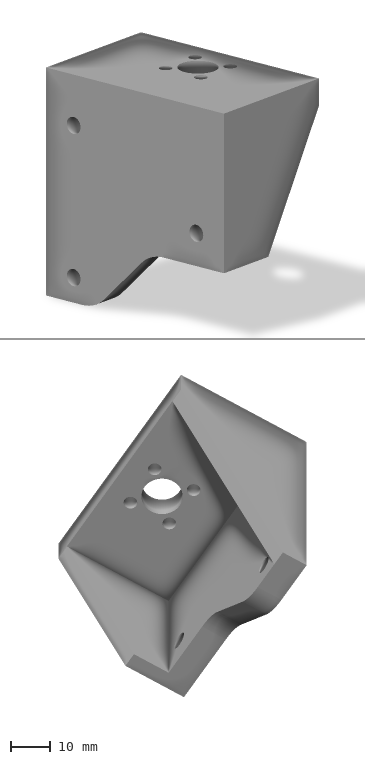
import cadquery as cq
import math

width = 58.0
depth = 37.0
height = 60.0

foot_width = 16.0
step_height = 18.0
ramp_angle = 45.0
bend_radius = 10.0

foot_depth = 7.0
back_edge_height = 7.2

plate_thickness = foot_depth
rib_thickness = 4.0

mount_diameter = 4.5
mount_inset = 9.0
mount_bottom = 6.6
mount_pitch = 40.0

bore_diameter = 10.3
bore_from_back = 12.5
screw_diameter = 3.4
screw_pitch = 11.45


def front_profile():
    """Face outline with a 45 degree ramp, rounded where it meets the two levels."""
    ramp_end = foot_width + step_height / math.tan(math.radians(ramp_angle))
    block = (
        cq.Workplane("XZ")
        .polyline([(0, 0), (foot_width, 0), (ramp_end, step_height),
                   (width, step_height), (width, height), (0, height)])
        .close()
        .extrude(-depth)
    )
    ramp_middle = (foot_width + ramp_end) / 2
    ramp_corners = cq.selectors.BoxSelector(
        (ramp_middle - step_height, 0, -step_height),
        (ramp_middle + step_height, depth, 2 * step_height),
    )
    return block.edges("|Y").edges(ramp_corners).fillet(bend_radius)


def side_profile():
    """Side outline that tapers from the deep top to the shallow foot."""
    return (
        cq.Workplane("YZ")
        .polyline([(0, 0), (foot_depth, 0), (depth, height - back_edge_height),
                   (depth, height), (0, height)])
        .close()
        .extrude(width)
    )


def hollow():
    """Space left behind the front plate and under the top plate, between the ribs."""
    return (
        cq.Workplane("XY")
        .box(width - 2 * rib_thickness, depth - plate_thickness, height - plate_thickness, centered=False)
        .translate((rib_thickness, plate_thickness, 0))
    )


def mounting_holes():
    """Two holes in line near the left edge and one midway up on the right."""
    mount_right = mount_inset + mount_pitch
    centres = [
        (mount_inset, mount_bottom),
        (mount_inset, mount_bottom + mount_pitch),
        (mount_right, mount_bottom + mount_pitch / 2),
    ]
    return cq.Workplane("XZ").pushPoints(centres).circle(mount_diameter / 2).extrude(-depth)


def vertical_holes():
    """Central bore and four screw holes on a square around it."""
    plane = cq.Workplane("XY", origin=(width / 2, depth - bore_from_back, 0))
    bore = plane.circle(bore_diameter / 2).extrude(height)
    screws = (
        plane.rarray(screw_pitch, screw_pitch, 2, 2)
        .circle(screw_diameter / 2)
        .extrude(height)
    )
    return bore.union(screws)


body = front_profile().intersect(side_profile())
result = body.cut(hollow()).cut(mounting_holes()).cut(vertical_holes())